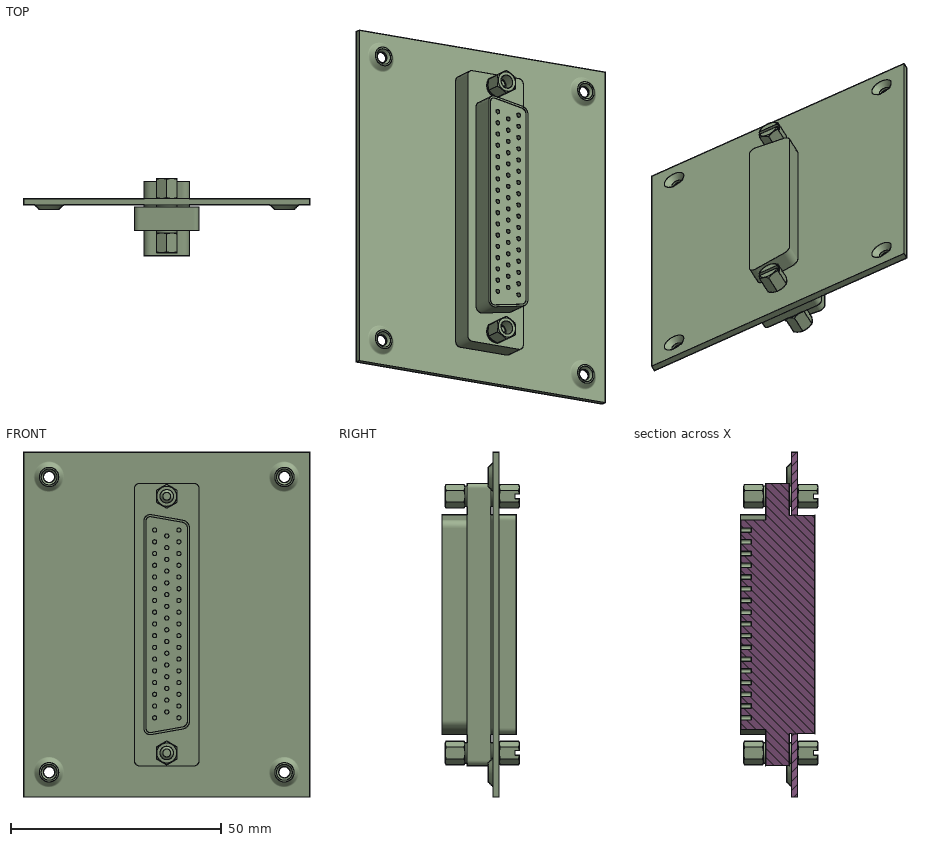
import cadquery as cq
import math

PANEL_WIDTH = 68.1
PANEL_HEIGHT = 82.0
PANEL_THICKNESS = 1.5

DIMPLE_X = 28.0
DIMPLE_Z = 35.1
DIMPLE_RISE = 1.15
DIMPLE_BASE_RADIUS = 3.6
DIMPLE_FILLET_RADIUS_END = 3.2
DIMPLE_FILLET_RISE = 0.25
DIMPLE_RIM_RADIUS = 2.3
DIMPLE_MOUTH_RADIUS = 1.9
DIMPLE_HOLE_RADIUS = 1.3
DIMPLE_MOUTH_DEPTH = 0.7
DIMPLE_BACK_SINK = 1.3

FLANGE_WIDTH = 15.35
FLANGE_HEIGHT = 67.2
FLANGE_DEPTH = 5.7
FLANGE_CORNER_RADIUS = 1.2

D_WIDTH = 10.8
D_HEIGHT = 52.35
D_SLANT = math.radians(10)
D_LONG_SIDE_RADIUS = 1.5
D_SHORT_SIDE_RADIUS = 2.0
D_FRONT_LENGTH = 6.0
D_REAR_REACH = 4.1
D_SHELL_WALL = 0.5
D_FACE_RECESS = 0.1

CONTACT_DIAMETER = 1.0
CONTACT_DEPTH = 2.5
CONTACT_PITCH = 2.8
CONTACT_CENTRE_Z = 0.2
CONTACT_COLUMN_SPACING = 2.9
OUTER_COLUMN_COUNT = 17
MIDDLE_COLUMN_COUNT = 16

SCREW_Z = 30.5
HEX_ACROSS_FLATS = 4.9
HEX_END_DIAMETER = 4.75
HEX_CHAMFER_ANGLE = math.radians(30)
COLLAR_DIAMETER = HEX_ACROSS_FLATS
COLLAR_LENGTH = 0.5
WASHER_THICKNESS = 0.5
WASHER_DIAMETER = HEX_ACROSS_FLATS
SCREW_HEAD_LENGTH = 4.8
NUT_LENGTH = 5.25
SLOT_WIDTH = 1.1
SLOT_DEPTH = 1.1
SHANK_DIAMETER = 3.2
SHANK_TIP_CHAMFER = 0.65
SHANK_TIP_SETBACK = 2.5

PANEL_FRONT_Y = -PANEL_THICKNESS
FLANGE_REAR_Y = PANEL_FRONT_Y - WASHER_THICKNESS
FLANGE_FRONT_Y = FLANGE_REAR_Y - FLANGE_DEPTH
D_FRONT_Y = FLANGE_FRONT_Y - D_FRONT_LENGTH
NUT_FRONT_Y = FLANGE_FRONT_Y - NUT_LENGTH
SHANK_TIP_Y = NUT_FRONT_Y + SHANK_TIP_SETBACK

SCREW_POINTS = [(0, -SCREW_Z), (0, SCREW_Z)]


def front_plane(y):
    """Sketch plane at the given y: local x is X, local y is Z, and extrusion runs toward -Y."""
    return cq.Workplane("XZ", origin=(0, y, 0))


def d_prism(rear_y, front_y, long_side, inset=0.0):
    """D-shaped prism between two planes; long_side is -1 or +1, the X side that is taller."""
    half_width = D_WIDTH / 2 - inset
    long_radius = D_LONG_SIDE_RADIUS - inset
    short_radius = D_SHORT_SIDE_RADIUS - inset
    corner_loss = long_radius * ((1 + math.sin(D_SLANT)) / math.cos(D_SLANT) - 1)
    long_half = D_HEIGHT / 2 - inset + corner_loss
    short_half = long_half - 2 * half_width * math.tan(D_SLANT)
    long_x = long_side * half_width
    prism = (
        front_plane(rear_y)
        .polyline([(long_x, -long_half), (long_x, long_half), (-long_x, short_half), (-long_x, -short_half)])
        .close()
        .extrude(rear_y - front_y)
    )
    long_face, short_face = ("<X", ">X") if long_side < 0 else (">X", "<X")
    prism = prism.faces(long_face).edges("|Y").fillet(long_radius)
    return prism.faces(short_face).edges("|Y").fillet(short_radius)


def dimple_solid():
    """Outer form of a dimple on the Y axis: a cone on the panel's front with a filleted root."""
    rim_y = PANEL_FRONT_Y - DIMPLE_RISE
    fillet_y = PANEL_FRONT_Y - DIMPLE_FILLET_RISE
    return (
        cq.Workplane("XY")
        .moveTo(0, PANEL_FRONT_Y)
        .lineTo(DIMPLE_BASE_RADIUS, PANEL_FRONT_Y)
        .spline(
            [(DIMPLE_FILLET_RADIUS_END, fillet_y)],
            tangents=[(-1, 0), (DIMPLE_RIM_RADIUS - DIMPLE_FILLET_RADIUS_END, rim_y - fillet_y)],
            includeCurrent=True,
        )
        .lineTo(DIMPLE_RIM_RADIUS, rim_y)
        .lineTo(0, rim_y)
        .close()
        .revolve(360, (0, 0, 0), (0, 1, 0))
    )


def dimple_hole():
    """Hole through a dimple: conical mouth in front, short bore, conical sink at the rear."""
    rim_y = PANEL_FRONT_Y - DIMPLE_RISE
    return (
        cq.Workplane("XY")
        .polyline([
            (0, rim_y),
            (DIMPLE_MOUTH_RADIUS, rim_y),
            (DIMPLE_HOLE_RADIUS, rim_y + DIMPLE_MOUTH_DEPTH),
            (DIMPLE_HOLE_RADIUS, -DIMPLE_BACK_SINK),
            (DIMPLE_HOLE_RADIUS + DIMPLE_BACK_SINK, 0),
            (0, 0),
        ])
        .close()
        .revolve(360, (0, 0, 0), (0, 1, 0))
    )


def shank_holes(rear_y, depth):
    """Both screw holes, as cutters running forward from rear_y."""
    return front_plane(rear_y).pushPoints(SCREW_POINTS).circle(SHANK_DIAMETER / 2).extrude(depth)


def make_panel():
    """Sheet with four dimpled mounting holes, a D cutout for the connector and two screw holes."""
    panel = front_plane(0).rect(PANEL_WIDTH, PANEL_HEIGHT).extrude(PANEL_THICKNESS)
    for x in (-DIMPLE_X, DIMPLE_X):
        for z in (-DIMPLE_Z, DIMPLE_Z):
            panel = panel.union(dimple_solid().translate((x, 0, z)))
            panel = panel.cut(dimple_hole().translate((x, 0, z)))
    panel = panel.cut(d_prism(0, PANEL_FRONT_Y, long_side=1))
    return panel.cut(shank_holes(0, PANEL_THICKNESS))


def contact_points():
    """Contact positions in XZ: two outer columns and a staggered middle column."""
    columns = [
        (-CONTACT_COLUMN_SPACING, OUTER_COLUMN_COUNT),
        (0, MIDDLE_COLUMN_COUNT),
        (CONTACT_COLUMN_SPACING, OUTER_COLUMN_COUNT),
    ]
    points = []
    for x, count in columns:
        lowest_z = CONTACT_CENTRE_Z - (count - 1) / 2 * CONTACT_PITCH
        points += [(x, lowest_z + i * CONTACT_PITCH) for i in range(count)]
    return points


def make_connector():
    """Flange block with opposed D bodies; the front one carries the contact holes."""
    connector = (
        front_plane(FLANGE_REAR_Y)
        .rect(FLANGE_WIDTH, FLANGE_HEIGHT)
        .extrude(FLANGE_DEPTH)
        .edges("|Y")
        .fillet(FLANGE_CORNER_RADIUS)
    )
    connector = connector.union(d_prism(FLANGE_FRONT_Y, D_FRONT_Y, long_side=-1))
    connector = connector.union(d_prism(D_REAR_REACH, FLANGE_REAR_Y, long_side=1))
    face_y = D_FRONT_Y + D_FACE_RECESS
    connector = connector.cut(d_prism(face_y, D_FRONT_Y, long_side=-1, inset=D_SHELL_WALL))
    contacts = (
        front_plane(face_y + CONTACT_DEPTH)
        .pushPoints(contact_points())
        .circle(CONTACT_DIAMETER / 2)
        .extrude(CONTACT_DEPTH)
    )
    return connector.cut(contacts).cut(shank_holes(FLANGE_REAR_Y, FLANGE_DEPTH))


def hex_bar(rear_y, front_y):
    """Hexagonal bar on the Y axis, corners toward +Z and -Z, both ends turned to a cone."""
    length = rear_y - front_y
    corner_radius = HEX_ACROSS_FLATS / 2 / math.cos(math.pi / 6)
    chamfer_depth = corner_radius - HEX_END_DIAMETER / 2
    chamfer_length = chamfer_depth * math.tan(HEX_CHAMFER_ANGLE)
    corners = [
        (corner_radius * math.sin(k * math.pi / 3), corner_radius * math.cos(k * math.pi / 3)) for k in range(6)
    ]
    bar = front_plane(rear_y).polyline(corners).close().extrude(length)
    turned = (
        front_plane(rear_y)
        .circle(corner_radius)
        .extrude(length)
        .faces("<Y or >Y")
        .chamfer(chamfer_length, chamfer_depth)
    )
    return bar.intersect(turned)


def make_screw():
    """Slotted hex-head screw behind the panel; its shank runs forward into the nut."""
    head = hex_bar(SCREW_HEAD_LENGTH, 0)
    slot = cq.Workplane("XY").box(2 * HEX_ACROSS_FLATS, 2 * SLOT_DEPTH, SLOT_WIDTH)
    head = head.cut(slot.translate((0, SCREW_HEAD_LENGTH, 0)))
    shank = (
        front_plane(0)
        .circle(SHANK_DIAMETER / 2)
        .extrude(-SHANK_TIP_Y)
        .faces("<Y")
        .chamfer(SHANK_TIP_CHAMFER)
    )
    return head.union(shank)


def make_washer():
    """Plain round washer on the shank, between the panel and the flange."""
    return (
        front_plane(PANEL_FRONT_Y)
        .circle(WASHER_DIAMETER / 2)
        .circle(SHANK_DIAMETER / 2)
        .extrude(WASHER_THICKNESS)
    )


def make_nut():
    """Hex nut on the flange, standing on a short round collar, bored through for the shank."""
    collar = front_plane(FLANGE_FRONT_Y).circle(COLLAR_DIAMETER / 2).extrude(COLLAR_LENGTH)
    bore = front_plane(FLANGE_FRONT_Y).circle(SHANK_DIAMETER / 2).extrude(NUT_LENGTH)
    return hex_bar(FLANGE_FRONT_Y - COLLAR_LENGTH, NUT_FRONT_Y).union(collar).cut(bore)


panel = make_panel()
connector = make_connector()
fasteners = []
for x, z in SCREW_POINTS:
    for make_fastener in (make_screw, make_washer, make_nut):
        fasteners.append(make_fastener().translate((x, 0, z)).val())

result = cq.Compound.makeCompound([panel.val(), connector.val(), *fasteners])